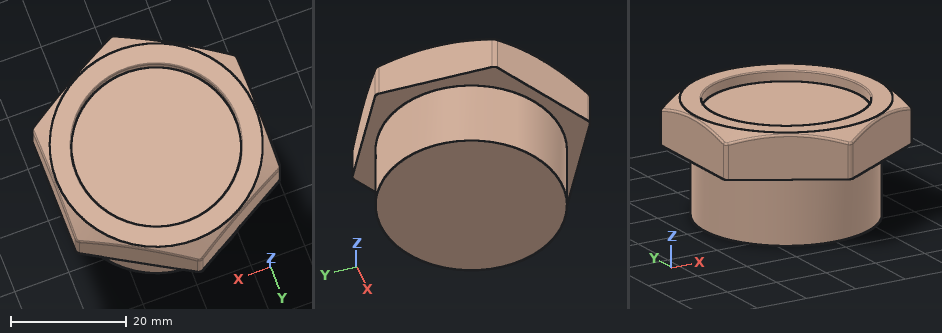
import cadquery as cq
import math

sides = 6
across_flats = 38.0
head_height = 8.5
corner_radius = 1.0
edge_radius = 0.5
top_face_diameter = 37.0
chamfer_angle = 30.0

total_height = 21.5
shank_diameter = 33.25

recess_diameter = 29.5
recess_depth = 2.0
rim_radius = 0.2

shank_height = total_height - head_height
across_corners = across_flats / math.cos(math.pi / sides)


def chamfer_cone():
    """Cone frustum whose slope bevels the hexagon corners."""
    top_radius = top_face_diameter / 2
    outer_radius = across_corners / 2 + corner_radius
    drop = (outer_radius - top_radius) * math.tan(math.radians(chamfer_angle))
    profile = (
        cq.Workplane("XZ")
        .moveTo(0, shank_height)
        .lineTo(outer_radius, shank_height)
        .lineTo(outer_radius, total_height - drop)
        .lineTo(top_radius, total_height)
        .lineTo(0, total_height)
        .close()
    )
    return profile.revolve(360, (0, 0, 0), (0, 1, 0))


def hexagonal_head():
    """Hexagon with rounded corners, bevelled on top and with softened bevel edges."""
    prism = (
        cq.Workplane("XY", origin=(0, 0, shank_height))
        .polygon(sides, across_corners)
        .extrude(head_height)
        .rotate((0, 0, 0), (0, 0, 1), 180 / sides)
        .edges("|Z")
        .fillet(corner_radius)
    )
    head = prism.intersect(chamfer_cone())
    bevel_edges = head.edges("not(|Z or <Z or >Z)")
    return bevel_edges.fillet(edge_radius)


def add_recess(body):
    """Blind round recess in the top face with a rounded rim."""
    top_plane = cq.Workplane("XY", origin=(0, 0, total_height))
    recess = top_plane.circle(recess_diameter / 2).extrude(-recess_depth)
    on_rim = cq.selectors.RadiusNthSelector(0)
    return body.cut(recess).faces(">Z").edges(on_rim).fillet(rim_radius)


shank = cq.Workplane("XY").circle(shank_diameter / 2).extrude(shank_height)
result = add_recess(hexagonal_head().union(shank))